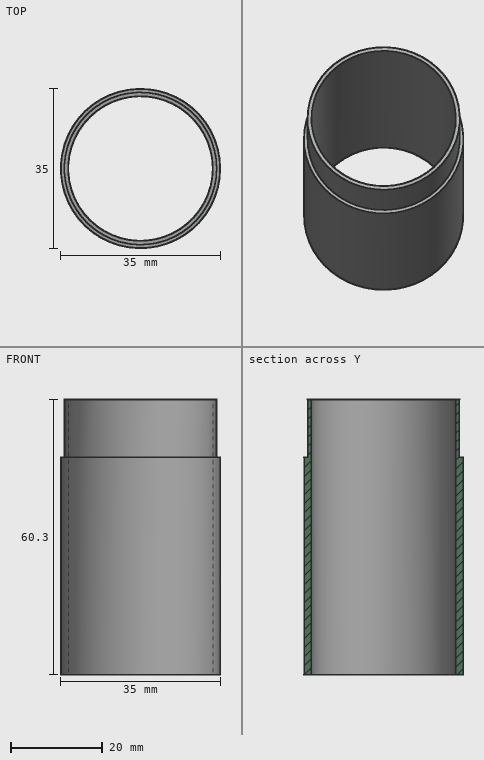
import cadquery as cq

total_height = 60.3
body_diameter = 34.95
bore_diameter = 31.6

neck_diameter = 33.35
neck_height = 12.65
body_height = total_height - neck_height

body = cq.Workplane("XY").circle(body_diameter / 2).extrude(body_height)
neck = (
    cq.Workplane("XY")
    .workplane(offset=body_height)
    .circle(neck_diameter / 2)
    .extrude(neck_height)
)
bore = cq.Workplane("XY").circle(bore_diameter / 2).extrude(total_height)

result = body.union(neck).cut(bore)